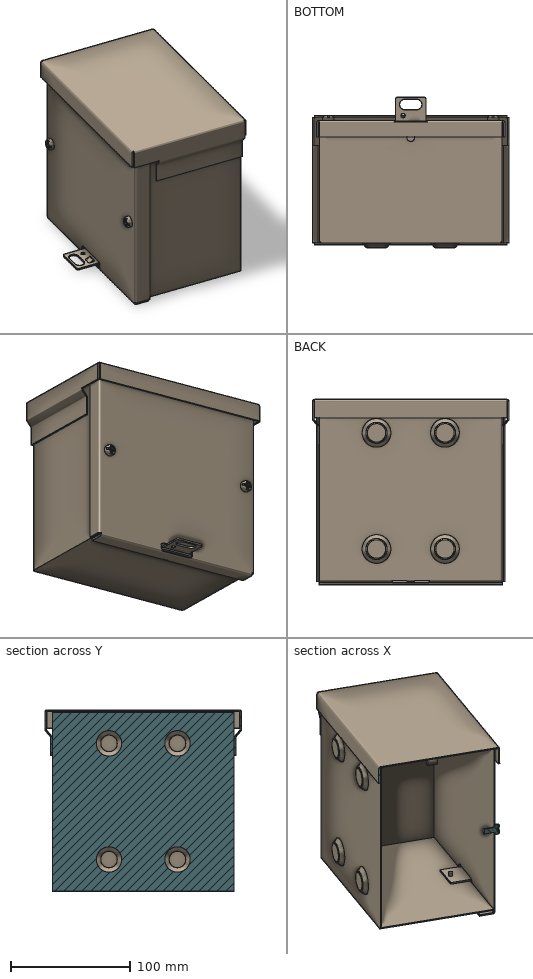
import cadquery as cq
import math


SHEET = 1.5
WIDTH = 164.8
HEIGHT = 155.5
BEND_RADIUS = 2.3
INNER_BEND_RADIUS = BEND_RADIUS - SHEET

LID_OVERHANG = 4.3
LID_FLANGE_BOTTOM = 139.8
LID_CORNER_NOTCH = 1.6
LID_UNDERSIDE = HEIGHT - SHEET
BOX_TOP = LID_UNDERSIDE - INNER_BEND_RADIUS
JOG_TOP = 138.3
JOG_BOTTOM = 132.8
STRAP_BOTTOM = 117.2
STRAP_FRONT = 21.0

BOX_HALF_WIDTH = 76.3
BOX_BACK = 102.7
BOX_BOTTOM = 3.3
LID_BACK = BOX_BACK + SHEET
MID_HEIGHT = 78.6

FOOT_X = 28.7
FOOT_Z_OFFSET = 48.6
FOOT_BASE_RADIUS = 12.0
FOOT_TIP_RADIUS = 8.4
FOOT_HEIGHT = 4.1
FOOT_TIP_CHAMFER = 0.7

COVER_HALF_WIDTH = 79.0
COVER_DEPTH = 13.8
COVER_NOTCH_WIDTH = 2.1
COVER_NOTCH_HEIGHT = 2.6
COVER_HEM_THICKNESS = 1.8
HASP_OPENING_WIDTH = 31.8
HASP_OPENING_BOTTOM = 1.2
HASP_OPENING_TOP = 8.2
HASP_OPENING_RADIUS = 3.0

HASP_WIDTH = 25.7
HASP_FRONT = -19.6
HASP_BACK = 19.0
HASP_CORNER_RADIUS = 2.0
HASP_BOTTOM = BOX_BOTTOM + SHEET
HASP_TOP = HASP_BOTTOM + SHEET
PADLOCK_SLOT_LENGTH = 18.6
PADLOCK_SLOT_WIDTH = 8.5
PADLOCK_SLOT_Y = -13.4
SEAL_HOLE_DIAMETER = 3.5
SEAL_HOLE_X = -6.5
SEAL_HOLE_Y = -4.0
TONGUE_X = 6.3
TONGUE_WIDTH = 6.6
TONGUE_ROOT_Y = -6.8
TONGUE_TIP_Y = -2.1
TONGUE_TIP_Z = 8.0

RIVET_Y = 14.3
RIVET_HEAD_DIAMETER = 6.6
RIVET_HEAD_HEIGHT = 1.3
RIVET_HEAD_ROUND = 0.5
RIVET_SHANK_DIAMETER = 3.5
RIVET_TOP = 9.2

SCREW_X = 69.0
SCREW_HEAD_DIAMETER = 9.4
SCREW_HEAD_HEIGHT = 4.3
SCREW_HEAD_ROUND = 2.3
SCREW_SHANK_DIAMETER = 5.0
SCREW_SHANK_LENGTH = 9.9
SCREW_SLOT_WIDTH = 1.6
SCREW_SLOT_DEPTH = 1.6
SCREW_CROSS_SPAN = 7.3
SCREW_CROSS_WIDTH = 5.6
SCREW_CROSS_DEPTH = 2.3
SCREW_CROSS_TAPER = 30


def block(x_range, y_range, z_range):
    """Axis-aligned block between three pairs of limits."""
    size = [high - low for low, high in (x_range, y_range, z_range)]
    corner = (x_range[0], y_range[0], z_range[0])
    return cq.Workplane("XY").box(*size, centered=False).translate(corner)


def rod_along_y(x, z, diameter, y_start, y_end):
    """Cylinder parallel to Y."""
    plane = cq.Plane(origin=(x, y_start, z), xDir=(1, 0, 0), normal=(0, 1, 0))
    return cq.Workplane(plane).circle(diameter / 2).extrude(y_end - y_start)


def rod_along_z(x, y, diameter, z_start, z_end):
    """Cylinder parallel to Z."""
    return cq.Workplane("XY", origin=(x, y, z_start)).circle(diameter / 2).extrude(z_end - z_start)


def emboss_cone(x, z, base_radius, tip_radius, y_base):
    """Solid frustum that points towards +Y."""
    plane = cq.Plane(origin=(x, y_base, z), xDir=(1, 0, 0), normal=(0, 1, 0))
    return (
        cq.Workplane(plane)
        .circle(base_radius)
        .workplane(offset=FOOT_HEIGHT)
        .circle(tip_radius)
        .loft(ruled=True)
    )


def make_box():
    """Back, two sides and floor; the front and the top are open."""
    outer = block((-BOX_HALF_WIDTH, BOX_HALF_WIDTH), (SHEET, BOX_BACK), (BOX_BOTTOM, BOX_TOP))
    outer = outer.edges("|Z and >Y").fillet(BEND_RADIUS)
    inner_half = BOX_HALF_WIDTH - SHEET
    inner = block((-inner_half, inner_half), (SHEET, BOX_BACK - SHEET), (HASP_BOTTOM, BOX_TOP))
    inner = inner.edges("|Z and >Y").fillet(INNER_BEND_RADIUS)
    box = outer.cut(inner)
    for x in (-FOOT_X, FOOT_X):
        for z in (MID_HEIGHT - FOOT_Z_OFFSET, MID_HEIGHT + FOOT_Z_OFFSET):
            foot = emboss_cone(x, z, FOOT_BASE_RADIUS, FOOT_TIP_RADIUS, BOX_BACK)
            box = box.union(foot.faces(">Y").edges().chamfer(FOOT_TIP_CHAMFER))
            hollow = emboss_cone(x, z, FOOT_BASE_RADIUS - SHEET, FOOT_TIP_RADIUS - SHEET, BOX_BACK - SHEET)
            box = box.cut(hollow)
    return box.cut(rod_along_z(0, RIVET_Y, RIVET_SHANK_DIAMETER, BOX_BOTTOM, HASP_BOTTOM))


def make_strap():
    """Jogged strap for the +X side: it steps in from the lid flange and lies on the box side."""
    flange_outer = WIDTH / 2
    strap_outer = BOX_HALF_WIDTH + SHEET
    profile = [
        (flange_outer - SHEET, LID_FLANGE_BOTTOM),
        (flange_outer, LID_FLANGE_BOTTOM),
        (flange_outer, JOG_TOP),
        (strap_outer, JOG_BOTTOM),
        (strap_outer, STRAP_BOTTOM),
        (BOX_HALF_WIDTH, STRAP_BOTTOM),
        (BOX_HALF_WIDTH, JOG_BOTTOM),
        (flange_outer - SHEET, JOG_TOP),
    ]
    strap_back = LID_BACK - LID_CORNER_NOTCH
    plane = cq.Plane(origin=(0, strap_back, 0), xDir=(1, 0, 0), normal=(0, -1, 0))
    strap = cq.Workplane(plane).polyline(profile).close().extrude(strap_back - STRAP_FRONT)
    mid_y = (strap_back + STRAP_FRONT) / 2
    bends = [
        (flange_outer, JOG_TOP, BEND_RADIUS),
        (flange_outer - SHEET, JOG_TOP, INNER_BEND_RADIUS),
        (strap_outer, JOG_BOTTOM, INNER_BEND_RADIUS),
        (BOX_HALF_WIDTH, JOG_BOTTOM, BEND_RADIUS),
    ]
    for x, z, radius in bends:
        strap = strap.edges(cq.NearestToPointSelector((x, mid_y, z))).fillet(radius)
    return strap


def make_lid():
    half = WIDTH / 2
    front = -LID_OVERHANG
    lid = block((-half, half), (front, LID_BACK), (LID_FLANGE_BOTTOM, HEIGHT))
    lid = lid.faces(">Z").edges().fillet(BEND_RADIUS)
    cavity = block(
        (SHEET - half, half - SHEET), (front + SHEET, LID_BACK - SHEET), (LID_FLANGE_BOTTOM, LID_UNDERSIDE)
    )
    lid = lid.cut(cavity.faces(">Z").edges().fillet(INNER_BEND_RADIUS))
    for x in (-half, half - LID_CORNER_NOTCH):
        for y in (front, LID_BACK - LID_CORNER_NOTCH):
            notch = block(
                (x, x + LID_CORNER_NOTCH), (y, y + LID_CORNER_NOTCH), (LID_FLANGE_BOTTOM, HEIGHT)
            )
            lid = lid.cut(notch)
    strap = make_strap()
    return lid.union(strap).union(strap.mirror("YZ"))


def make_cover():
    """Front panel with side flanges and a thicker, folded bottom flange."""
    half = COVER_HALF_WIDTH
    cover = block((-half, half), (0, COVER_DEPTH), (0, LID_UNDERSIDE))
    cover = cover.edges("(|Z and <Y) or (|X and <Y and <Z)").fillet(BEND_RADIUS)
    cavity = block((SHEET - half, half - SHEET), (SHEET, COVER_DEPTH), (COVER_HEM_THICKNESS, LID_UNDERSIDE))
    cover = cover.cut(cavity.edges("|Z and <Y").fillet(INNER_BEND_RADIUS))
    for x in (-half, half - COVER_NOTCH_WIDTH):
        cover = cover.cut(block((x, x + COVER_NOTCH_WIDTH), (0, COVER_DEPTH), (0, COVER_NOTCH_HEIGHT)))
    half_opening = HASP_OPENING_WIDTH / 2
    opening = block(
        (-half_opening, half_opening), (0, SHEET), (HASP_OPENING_BOTTOM, HASP_OPENING_TOP)
    )
    cover = cover.cut(opening.edges("|Y").fillet(HASP_OPENING_RADIUS))
    for x in (-SCREW_X, SCREW_X):
        cover = cover.cut(rod_along_y(x, MID_HEIGHT, SCREW_SHANK_DIAMETER, 0, SHEET))
    return cover


def make_tongue():
    """Tongue bent up from the hasp plate, rising from its root towards the cover."""
    run = TONGUE_TIP_Y - TONGUE_ROOT_Y
    rise = TONGUE_TIP_Z - HASP_TOP
    slope = math.atan2(rise, run)
    tip_bottom_y = TONGUE_TIP_Y + SHEET * math.sin(slope)
    tip_bottom_z = TONGUE_TIP_Z - SHEET * math.cos(slope)
    profile = [
        (TONGUE_ROOT_Y, HASP_BOTTOM),
        (TONGUE_ROOT_Y, HASP_TOP),
        (TONGUE_TIP_Y, TONGUE_TIP_Z),
        (tip_bottom_y, tip_bottom_z),
    ]
    plane = cq.Workplane("YZ", origin=(TONGUE_X - TONGUE_WIDTH / 2, 0, 0))
    return plane.polyline(profile).close().extrude(TONGUE_WIDTH)


def make_hasp():
    half = HASP_WIDTH / 2
    hasp = block((-half, half), (HASP_FRONT, HASP_BACK), (HASP_BOTTOM, HASP_TOP))
    hasp = hasp.edges("|Z and <Y").fillet(HASP_CORNER_RADIUS)
    padlock_slot = (
        cq.Workplane("XY", origin=(0, PADLOCK_SLOT_Y, HASP_BOTTOM))
        .slot2D(PADLOCK_SLOT_LENGTH, PADLOCK_SLOT_WIDTH)
        .extrude(SHEET)
    )
    hasp = hasp.cut(padlock_slot)
    hasp = hasp.cut(rod_along_z(SEAL_HOLE_X, SEAL_HOLE_Y, SEAL_HOLE_DIAMETER, HASP_BOTTOM, HASP_TOP))
    hasp = hasp.cut(rod_along_z(0, RIVET_Y, RIVET_SHANK_DIAMETER, HASP_BOTTOM, HASP_TOP))
    return hasp.union(make_tongue())


def make_rivet():
    head = rod_along_z(0, RIVET_Y, RIVET_HEAD_DIAMETER, BOX_BOTTOM - RIVET_HEAD_HEIGHT, BOX_BOTTOM)
    head = head.faces("<Z").edges().fillet(RIVET_HEAD_ROUND)
    return head.union(rod_along_z(0, RIVET_Y, RIVET_SHANK_DIAMETER, BOX_BOTTOM, RIVET_TOP))


def make_screw(x):
    """Round-head screw with a straight slot, a cross arm and a diamond-shaped recess."""
    head = rod_along_y(x, MID_HEIGHT, SCREW_HEAD_DIAMETER, -SCREW_HEAD_HEIGHT, 0)
    head = head.faces("<Y").edges().fillet(SCREW_HEAD_ROUND)
    screw = head.union(rod_along_y(x, MID_HEIGHT, SCREW_SHANK_DIAMETER, 0, SCREW_SHANK_LENGTH))
    half_slot = SCREW_SLOT_WIDTH / 2
    half_head = SCREW_HEAD_DIAMETER / 2
    half_span = SCREW_CROSS_SPAN / 2
    slot_y = (-SCREW_HEAD_HEIGHT, SCREW_SLOT_DEPTH - SCREW_HEAD_HEIGHT)
    slot = block((-half_head, half_head), slot_y, (-half_slot, half_slot))
    cross_arm = block((-half_slot, half_slot), slot_y, (-half_span, half_span))
    for groove in (slot, cross_arm):
        screw = screw.cut(groove.translate((x, 0, MID_HEIGHT)))
    tip_plane = cq.Plane(
        origin=(x, -SCREW_HEAD_HEIGHT, MID_HEIGHT), xDir=(1, 0, 0), normal=(0, 1, 0)
    )
    half_width = SCREW_CROSS_WIDTH / 2
    recess = (
        cq.Workplane(tip_plane)
        .polyline([(half_width, 0), (0, half_span), (-half_width, 0), (0, -half_span)])
        .close()
        .extrude(SCREW_CROSS_DEPTH, taper=SCREW_CROSS_TAPER)
    )
    return screw.cut(recess)


box = make_box()
lid = make_lid()
cover = make_cover()
hasp = make_hasp()
rivet = make_rivet()
screws = [make_screw(x) for x in (-SCREW_X, SCREW_X)]

bodies = [box, lid, cover, hasp, rivet, *screws]
result = cq.Compound.makeCompound([body.solids().val() for body in bodies])